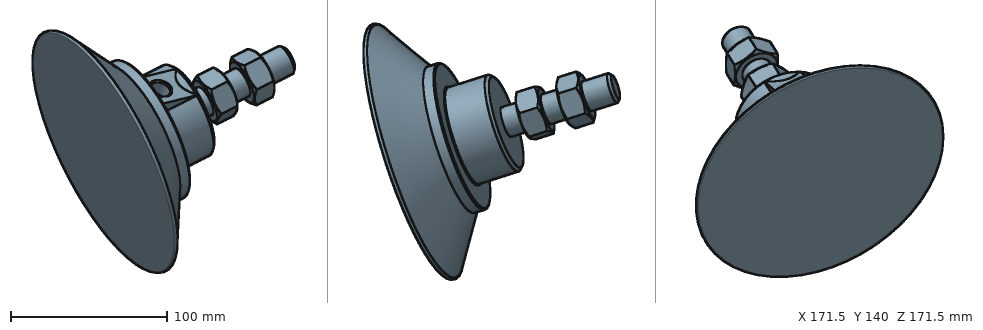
import cadquery as cq
import math

LENGTH = 140.0

LIP_DIAMETER = 171.5
LIP_THICKNESS = 2.5
LIP_BULGE = 1.0
DISC_DIAMETER = 98.5
DISC_BOTTOM = 27.1
DISC_TOP = 35.0
DISC_CHAMFER = 0.9

BODY_DIAMETER = 65.0
BODY_TOP = 64.8
BODY_CHAMFER = 2.0
BODY_FOOT = 0.7

STEM_DIAMETER = 20.0
STEM_CHAMFER = 2.0

NUT_FLATS = 30.0
NUT_HEIGHT = 15.6
NUT_END_DIAMETER = 28.8
NUT_BEVEL_ANGLE = 30.0
LOWER_NUT_START = 76.8
UPPER_NUT_START = 104.8
LOWER_NUT_TURN = -16.8
UPPER_NUT_TURN = -1.5

PORT_WIDTH = 24.9
PORT_HEIGHT = 40.5
PORT_SLOPE = 20.0
PORT_HOLE_Y = 43.5
PORT_HOLE_DIAMETER = 13.0
PORT_HOLE_DEPTH = 11.0
PORT_COUNTERSINK = 1.0


def revolve_about_axis(profile):
    """Revolve a closed (radius, Y) profile about the Y axis."""
    return cq.Workplane("XY").polyline(profile).close().revolve(360, (0, 0), (0, 1))


def make_cup_and_stem():
    lip = LIP_DIAMETER / 2
    disc = DISC_DIAMETER / 2
    body = BODY_DIAMETER / 2
    stem = STEM_DIAMETER / 2
    return (
        cq.Workplane("XY")
        .lineTo(lip - LIP_BULGE, 0)
        .threePointArc((lip, LIP_THICKNESS / 2), (lip - LIP_BULGE, LIP_THICKNESS))
        .lineTo(disc, DISC_BOTTOM)
        .lineTo(disc, DISC_TOP - DISC_CHAMFER)
        .lineTo(disc - DISC_CHAMFER, DISC_TOP)
        .lineTo(body + BODY_FOOT, DISC_TOP)
        .lineTo(body, DISC_TOP + BODY_FOOT)
        .lineTo(body, BODY_TOP - BODY_CHAMFER)
        .lineTo(body - BODY_CHAMFER, BODY_TOP)
        .lineTo(stem, BODY_TOP)
        .lineTo(stem, LENGTH - STEM_CHAMFER)
        .lineTo(stem - STEM_CHAMFER, LENGTH)
        .lineTo(0, LENGTH)
        .close()
        .revolve(360, (0, 0), (0, 1))
    )


def make_nut(start, turn):
    """Hexagon nut with both ends bevelled by a cone."""
    corner = NUT_FLATS / 2 / math.cos(math.radians(30))
    end = NUT_END_DIAMETER / 2
    bevel = (corner - end) * math.tan(math.radians(NUT_BEVEL_ANGLE))
    top = start + NUT_HEIGHT
    corners = []
    for index in range(6):
        angle = math.radians(90 + turn + 60 * index)
        corners.append((corner * math.cos(angle), corner * math.sin(angle)))
    hexagon = (
        cq.Workplane("XZ", origin=(0, start, 0))
        .polyline(corners)
        .close()
        .extrude(-NUT_HEIGHT)
    )
    envelope = revolve_about_axis([
        (0, start),
        (end, start),
        (corner, start + bevel),
        (corner, top - bevel),
        (end, top),
        (0, top),
    ])
    return hexagon.intersect(envelope)


def port_face_height(y):
    return PORT_HEIGHT - (y - DISC_TOP) * math.tan(math.radians(PORT_SLOPE))


def make_port_boss():
    """Wedge on the +Z side of the body, sloping down towards the stem."""
    return (
        cq.Workplane("YZ")
        .polyline([
            (DISC_TOP, 0),
            (DISC_TOP, PORT_HEIGHT),
            (BODY_TOP - BODY_CHAMFER, port_face_height(BODY_TOP - BODY_CHAMFER)),
            (BODY_TOP - BODY_CHAMFER, 0),
        ])
        .close()
        .extrude(PORT_WIDTH / 2, both=True)
    )


def make_port_hole():
    """Blind hole square to the port face, with a countersunk mouth."""
    slope = math.radians(PORT_SLOPE)
    mouth = cq.Vector(0, PORT_HOLE_Y, port_face_height(PORT_HOLE_Y))
    inward = cq.Vector(0, -math.sin(slope), -math.cos(slope))
    radius = PORT_HOLE_DIAMETER / 2
    bore = cq.Solid.makeCylinder(radius, PORT_HOLE_DEPTH, mouth, inward)
    countersink = cq.Solid.makeCone(
        radius + PORT_COUNTERSINK, radius, PORT_COUNTERSINK, mouth, inward
    )
    return cq.Workplane(bore).union(cq.Workplane(countersink))


result = (
    make_cup_and_stem()
    .union(make_port_boss())
    .cut(make_port_hole())
    .union(make_nut(LOWER_NUT_START, LOWER_NUT_TURN))
    .union(make_nut(UPPER_NUT_START, UPPER_NUT_TURN))
)